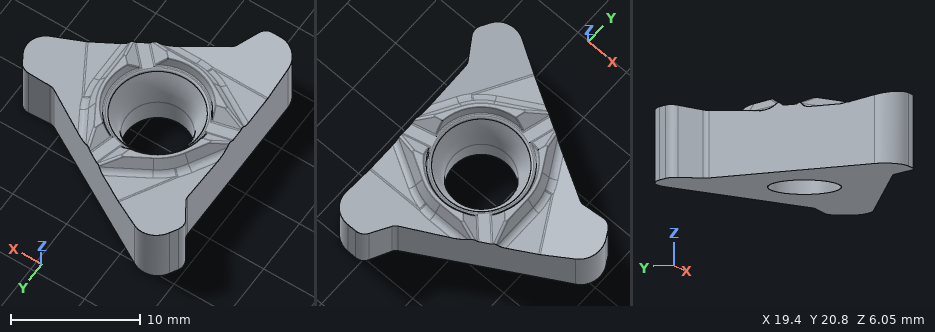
import cadquery as cq
import math

ARMS = 3
ARM_PITCH = 360 / ARMS

flank_distance = 6.31
tip_distance = 10.725
tip_width = 3.40
back_flank_angle = 63
nose_radius = 2.0
tip_corner_radius = 1.0
neck_radius = 0.8

floor_height = 4.95
slot_height = 5.25
crest_height = 6.05

ramp_start = 5.87
ramp_angle = 10
ramp_blend_radius = 0.8

crest_radius = 4.8
boss_wall_angle = 55
boss_foot_radius = 0.7

slot_direction = -46
slot_floor_width = 1.08
slot_mouth_width = 3.2
slot_foot_radius = 0.2
ridge_radius = 0.2

hole_diameter = 5.7
seat_bottom = 2.22
seat_top_radius = 3.85
lip_radius = 0.2
recess_radius = 4.25
recess_top_radius = 4.47
recess_foot_radius = 0.1
recess_corner_radius = 0.1
crest_edge_radius = 0.05

least_climb = 0.3
ridge_bearing_limit = 25

REACH = 15
MATCH_TOLERANCE = 0.001


def around(shape):
    """Return one copy of the shape for every arm."""
    return [shape.rotate((0, 0, 0), (0, 0, 1), i * ARM_PITCH) for i in range(ARMS)]


def unit(angle):
    """Unit vector at the given angle in the XY plane."""
    return math.cos(math.radians(angle)), math.sin(math.radians(angle))


def turn(point, angle):
    """Turn a point about the hole axis."""
    c, s = unit(angle)
    return c * point[0] - s * point[1], s * point[0] + c * point[1]


nose = (-flank_distance, -tip_distance)
tip_corner = (tip_width - flank_distance, -tip_distance)
next_flank = unit(180 + ARM_PITCH)
back_flank = unit(back_flank_angle)
gap = flank_distance - (next_flank[0] * tip_corner[0] + next_flank[1] * tip_corner[1])
back_length = gap / (next_flank[0] * back_flank[0] + next_flank[1] * back_flank[1])
neck = (tip_corner[0] + back_length * back_flank[0], tip_corner[1] + back_length * back_flank[1])


def round_corner(body, corner, radius):
    """Round the vertical edges at one outline corner of every arm."""
    places = [turn(corner, i * ARM_PITCH) for i in range(ARMS)]

    def at_corner(edge):
        middle = edge.Center()
        return any(math.dist((middle.x, middle.y), place) < MATCH_TOLERANCE for place in places)

    return body.edges("|Z").filter(at_corner).fillet(radius)


def make_outline_prism():
    """Full-height three-armed prism with its vertical corners rounded."""
    points = [turn(p, i * ARM_PITCH) for i in range(ARMS) for p in (nose, tip_corner, neck)]
    body = cq.Workplane("XY").polyline(points).close().extrude(crest_height)
    body = round_corner(body, nose, nose_radius)
    body = round_corner(body, tip_corner, tip_corner_radius)
    return round_corner(body, neck, neck_radius)


def make_ramp():
    """Ramp over one arm, blended into the floor."""
    setback = ramp_blend_radius * math.tan(math.radians(ramp_angle / 2))
    run, rise = unit(ramp_angle)
    cosine_half, sine_half = unit(ramp_angle / 2)
    near = ramp_start - setback
    far_height = floor_height + (REACH - ramp_start) * rise / run
    blend_mid = (near + ramp_blend_radius * sine_half, floor_height + ramp_blend_radius * (1 - cosine_half))
    profile = (
        cq.Workplane("XZ")
        .moveTo(near, 0)
        .lineTo(near, floor_height)
        .threePointArc(blend_mid, (ramp_start + setback * run, floor_height + setback * rise))
        .lineTo(REACH, far_height)
        .lineTo(REACH, 0)
        .close()
    )
    return profile.extrude(REACH, both=True).rotate((0, 0, 0), (0, 0, 1), -90)


def make_boss():
    """Tapered boss; three square corners joined by round stretches."""
    height = crest_height - floor_height
    foot_radius = crest_radius + height / math.tan(math.radians(boss_wall_angle))
    arc_sweep = ARM_PITCH - 90
    sketch = cq.Workplane("XY").workplane(offset=floor_height).moveTo(foot_radius, 0)
    for i in range(ARMS):
        start = i * ARM_PITCH
        arc_mid = turn((foot_radius, 0), start + arc_sweep / 2)
        arc_end = turn((foot_radius, 0), start + arc_sweep)
        corner = turn((foot_radius, foot_radius), start + arc_sweep)
        sketch = sketch.threePointArc(arc_mid, arc_end).lineTo(*corner)
        sketch = sketch.lineTo(*turn((foot_radius, 0), start + ARM_PITCH))
    return sketch.close().extrude(height, taper=90 - boss_wall_angle)


def make_slot():
    """Radial slot with sloping walls, running out through one flank."""
    half_floor = slot_floor_width / 2
    half_mouth = slot_mouth_width / 2
    slot = (
        cq.Workplane("YZ")
        .moveTo(-half_floor, slot_height)
        .lineTo(half_floor, slot_height)
        .lineTo(half_mouth, crest_height)
        .lineTo(-half_mouth, crest_height)
        .close()
        .extrude(REACH)
    )
    slot = slot.edges("|X and <Z").fillet(slot_foot_radius)
    return slot.rotate((0, 0, 0), (0, 0, 1), slot_direction)


def make_hole():
    """Plain hole, convex seat, rounded lip and conical recess."""
    hole_radius = hole_diameter / 2
    seat_top = slot_height - lip_radius
    lip_end = seat_top_radius + lip_radius
    lip_mid = (lip_end - lip_radius * math.sqrt(0.5), seat_top + lip_radius * math.sqrt(0.5))
    seat_widening = seat_top_radius - hole_radius
    seat_height = seat_top - seat_bottom
    half_sweep = math.atan(seat_widening / seat_height)
    seat_radius = seat_height / math.sin(2 * half_sweep)
    seat_mid = (
        hole_radius + seat_radius * (1 - math.cos(half_sweep)),
        seat_bottom + seat_radius * math.sin(half_sweep),
    )
    hole = (
        cq.Workplane("XZ")
        .lineTo(hole_radius, 0)
        .lineTo(hole_radius, seat_bottom)
        .threePointArc(seat_mid, (seat_top_radius, seat_top))
        .threePointArc(lip_mid, (lip_end, slot_height))
        .lineTo(recess_radius, slot_height)
        .lineTo(recess_top_radius, crest_height)
        .lineTo(0, crest_height)
        .close()
        .revolve(360, (0, 0, 0), (0, 1, 0))
    )
    return hole.faces("%CONE").edges("<Z").fillet(recess_foot_radius)


def blend_boss_foot(body, boss):
    """Round the edge where the boss wall meets the floor."""
    foot = boss.faces("<Z").wires().val()

    def on_foot(edge):
        samples = [edge.positionAt(t) for t in (0.25, 0.5, 0.75)]
        return all(cq.Vertex.makeVertex(*p.toTuple()).distance(foot) < MATCH_TOLERANCE for p in samples)

    return body.edges().filter(on_foot).fillet(boss_foot_radius)


def round_boss_edges(body):
    """Round the recess corners at the slots, the ridges and then the crest edges."""

    def is_steep(edge):
        box = edge.BoundingBox()
        return box.zmax > (slot_height + crest_height) / 2 and box.zmax - box.zmin > least_climb

    def axis_distance(edge):
        middle = edge.positionAt(0.5)
        return math.hypot(middle.x, middle.y)

    def is_recess_corner(edge):
        return is_steep(edge) and axis_distance(edge) < recess_top_radius

    def is_ridge(edge):
        middle = edge.positionAt(0.5)
        bearing = math.degrees(math.atan2(middle.y, middle.x)) - slot_direction
        off_slot = (bearing + ARM_PITCH / 2) % ARM_PITCH - ARM_PITCH / 2
        return is_steep(edge) and axis_distance(edge) > crest_radius and abs(off_slot) < ridge_bearing_limit

    body = body.edges().filter(is_recess_corner).fillet(recess_corner_radius)
    body = body.edges().filter(is_ridge).fillet(ridge_radius)
    return body.faces(">Z").edges().fillet(crest_edge_radius)


hole = make_hole()

floor = cq.Workplane("XY").circle(REACH).extrude(floor_height)
for ramp in around(make_ramp()):
    floor = floor.union(ramp)

plain_boss = make_boss()
boss = plain_boss
for slot in around(make_slot()):
    boss = boss.cut(slot)
boss = round_boss_edges(boss.cut(hole))

body = floor.cut(hole).union(boss).intersect(make_outline_prism())
result = blend_boss_foot(body, plain_boss)